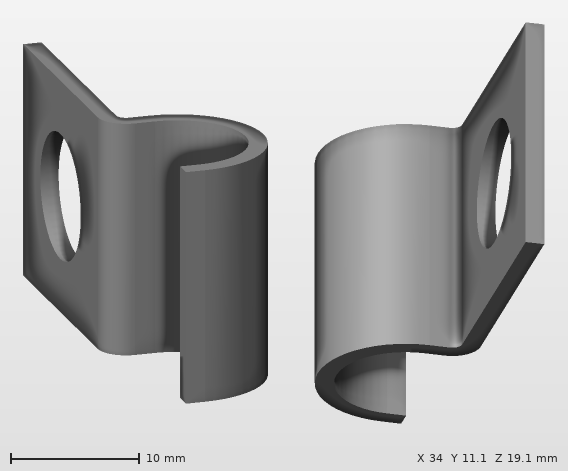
import cadquery as cq

thickness = 1.5
strap_width = 19.05
tab_length = 19.05
hole_diameter = 10.3
hole_x = tab_length / 2
hole_z = strap_width / 2

bend_inner_radius = 0.8
bend_outer_radius = bend_inner_radius + thickness

overall_depth = 11.05
hoop_inner_radius = 5.6
hoop_outer_radius = hoop_inner_radius + thickness
free_leg_length = 1.55

hoop_x = tab_length + bend_outer_radius + hoop_inner_radius
hoop_y = overall_depth - hoop_outer_radius


def on_arc(center_x, center_y, radius, x_direction, y_direction):
    """Point at 45 degrees on an arc, in the quadrant given by the two signs."""
    offset = radius * 0.5 ** 0.5
    return (center_x + x_direction * offset, center_y + y_direction * offset)


def make_strap():
    """Bent strip: profile in the XY plane, extruded across the strap width."""
    bend_y = bend_outer_radius
    lip_y = hoop_y - free_leg_length
    inner_left = hoop_x - hoop_inner_radius
    inner_right = hoop_x + hoop_inner_radius
    outer_left = hoop_x - hoop_outer_radius
    outer_right = hoop_x + hoop_outer_radius
    return (
        cq.Workplane("XY")
        .moveTo(0, 0)
        .lineTo(tab_length, 0)
        .threePointArc(on_arc(tab_length, bend_y, bend_outer_radius, 1, -1), (inner_left, bend_y))
        .lineTo(inner_left, hoop_y)
        .threePointArc((hoop_x, hoop_y + hoop_inner_radius), (inner_right, hoop_y))
        .lineTo(inner_right, lip_y)
        .lineTo(outer_right, lip_y)
        .lineTo(outer_right, hoop_y)
        .threePointArc((hoop_x, overall_depth), (outer_left, hoop_y))
        .lineTo(outer_left, bend_y)
        .threePointArc(on_arc(tab_length, bend_y, bend_inner_radius, 1, -1), (tab_length, thickness))
        .lineTo(0, thickness)
        .close()
        .extrude(strap_width)
    )


def make_screw_hole():
    """Cylinder along Y that passes through the tab."""
    return (
        cq.Workplane("XZ")
        .center(hole_x, hole_z)
        .circle(hole_diameter / 2)
        .extrude(-thickness)
    )


result = make_strap().cut(make_screw_hole())